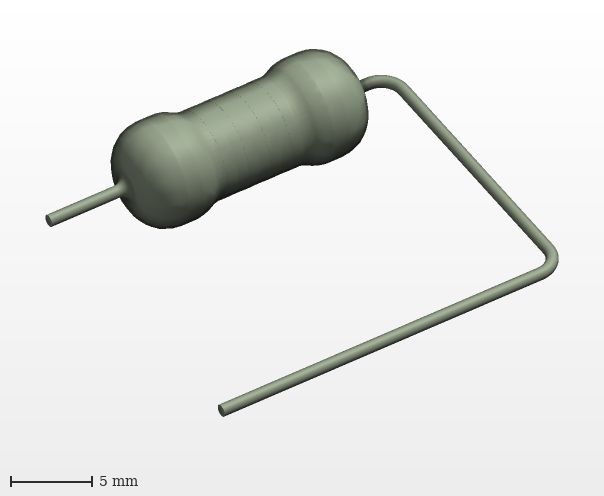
import cadquery as cq
import math

body_diameter = 7.0
waist_diameter = 5.95
band_diameter = 5.97
wire_diameter = 0.8
lead_pitch = 20.0
overall_length = 25.1

body_length = 16.5
waist_length = 5.52
collar_length = 1.05
wire_fillet = 0.68
bend_radius = 2 * wire_diameter
lead_end_y = -13.83
segment_count = 7

body_radius = body_diameter / 2
waist_radius = waist_diameter / 2
wire_radius = wire_diameter / 2
flare_radius = wire_radius + wire_fillet
cap_round = body_radius - flare_radius
body_end = body_length / 2
waist_end = waist_length / 2
collar_outer = body_end - cap_round
collar_inner = collar_outer - collar_length
segment_length = waist_length / segment_count
lead_top_y = lead_end_y + overall_length - wire_radius
overlap = 0.25

shoulder_half_length = (collar_inner - waist_end) / 2
shoulder_half_rise = (body_radius - waist_radius) / 2
shoulder_radius = (shoulder_half_length**2 + shoulder_half_rise**2) / (2 * shoulder_half_rise)
shoulder_half_angle = math.asin(shoulder_half_length / shoulder_radius) / 2
arc_along = shoulder_radius * math.sin(shoulder_half_angle)
arc_rise = shoulder_radius * (1 - math.cos(shoulder_half_angle))
diagonal = math.sqrt(0.5)


def make_cap():
    """Rounded +Y end of the body, including the flare onto its lead."""
    flare_end = body_end + wire_fillet
    return (
        cq.Workplane("XY")
        .moveTo(0, waist_end - overlap)
        .lineTo(waist_radius, waist_end - overlap)
        .lineTo(waist_radius, waist_end)
        .threePointArc(
            (waist_radius + arc_rise, waist_end + arc_along),
            (waist_radius + shoulder_half_rise, waist_end + shoulder_half_length),
        )
        .threePointArc(
            (body_radius - arc_rise, collar_inner - arc_along),
            (body_radius, collar_inner),
        )
        .lineTo(body_radius, collar_outer)
        .threePointArc(
            (flare_radius + cap_round * diagonal, collar_outer + cap_round * diagonal),
            (flare_radius, body_end),
        )
        .threePointArc(
            (flare_radius - wire_fillet * diagonal, flare_end - wire_fillet * diagonal),
            (wire_radius, flare_end),
        )
        .lineTo(0, flare_end)
        .close()
        .revolve(360, (0, 0, 0), (0, 1, 0))
    )


def make_waist():
    """Cylindrical waist with slightly raised colour bands."""
    waist = cq.Workplane("XZ", origin=(0, waist_end, 0)).circle(waist_radius).extrude(waist_length)
    for index in range(0, segment_count, 2):
        band_start = waist_end - index * segment_length
        band = (
            cq.Workplane("XZ", origin=(0, band_start, 0))
            .circle(band_diameter / 2)
            .extrude(segment_length)
        )
        waist = waist.union(band)
    return waist


def make_straight_lead():
    """Short lead leaving the -Y end of the body."""
    return (
        cq.Workplane("XZ", origin=(0, overlap - body_end, 0))
        .circle(wire_radius)
        .extrude(overlap - body_end - lead_end_y)
    )


def make_folded_lead():
    """Lead leaving the +Y end and folded twice to run back toward -Y."""
    bend_offset = bend_radius * (1 - diagonal)
    path = (
        cq.Workplane("XY")
        .moveTo(0, body_end - overlap)
        .lineTo(0, lead_top_y - bend_radius)
        .threePointArc((bend_offset, lead_top_y - bend_offset), (bend_radius, lead_top_y))
        .lineTo(lead_pitch - bend_radius, lead_top_y)
        .threePointArc(
            (lead_pitch - bend_offset, lead_top_y - bend_offset),
            (lead_pitch, lead_top_y - bend_radius),
        )
        .lineTo(lead_pitch, lead_end_y)
    )
    return cq.Workplane("XZ", origin=(0, body_end - overlap, 0)).circle(wire_radius).sweep(path)


cap = make_cap()
result = (
    make_waist()
    .union(cap)
    .union(cap.mirror("XZ"))
    .union(make_straight_lead())
    .union(make_folded_lead())
)